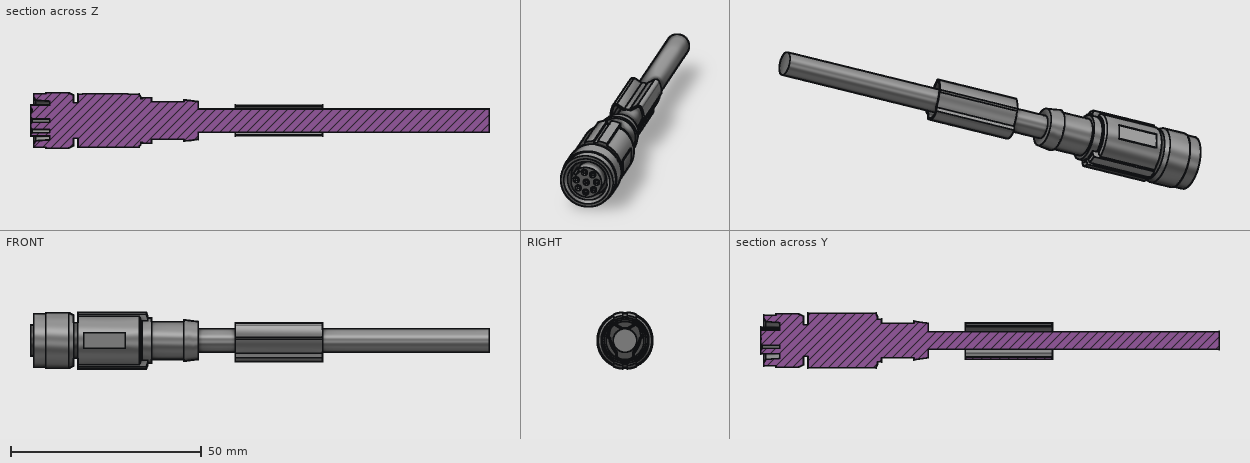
import cadquery as cq
import math


NUT_START = 0.75
NUT_STEP = 4.0
NUT_CHAMFER_START = 10.0
NUT_END = 11.3
GRIP_START = 12.4
GRIP_TAPER_START = 28.5
GRIP_END = 29.0
COLLAR_START = 29.4
RIB_TAPER_START = 30.4
RIB_END = 30.75
COLLAR_END = 31.8
FLARE_START = 40.3
BOOT_END = 44.1
CLIP_START = 53.8
CLIP_LENGTH = 23.0
CABLE_END = 120.65

INSERT_RADIUS = 4.1
NUT_FRONT_RADIUS = 7.05
NUT_RADIUS = 7.35
NUT_BACK_RADIUS = 6.7
NECK_RADIUS = 4.7
GRIP_RADIUS = 7.05
GRIP_TAPER_RADIUS = 6.3
GROOVE_RADIUS = 5.8
COLLAR_RADIUS = 6.0
BOOT_RADIUS = 5.0
FLARE_RADIUS = 5.5
CABLE_RADIUS = 3.1

SOCKET_MOUTH_RADIUS = 6.2
SOCKET_RADIUS = 5.3
SOCKET_FLOOR_RADIUS = 5.05
SOCKET_TAPER_END = 1.3
SOCKET_FLOOR = 5.0

OUTER_CONTACTS = 7
CONTACT_PITCH_RADIUS = 2.75
CONTACT_PITCH_ANGLE = 48.5
KEY_ANGLE = 45.0
CONTACT_MOUTH_RADIUS = 0.8
CONTACT_HOLE_RADIUS = 0.4
CONTACT_MOUTH_DEPTH = 0.4
CONTACT_DEPTH = 5.0
KEY_WIDTH = 1.5
KEY_FLOOR_RADIUS = 3.3

RIB_TOP = 7.5
RIB_HALF_WIDTH = 3.0
RIB_END_RADIUS = 6.6
RIB_SLOT_WIDTH = 1.1
RIB_RADIUS = math.hypot(RIB_TOP, RIB_SLOT_WIDTH / 2)
PAD_START = 13.9
PAD_LENGTH = 11.0
PAD_HEIGHT = 4.0

CLIP_WALL = 0.45


def revolve_about_x(points):
    """Solid of revolution about X from (station, radius) points."""
    return cq.Workplane("XY").polyline(points).close().revolve(360, (0, 0, 0), (1, 0, 0))


def make_body():
    """Nut, grip, boot and cable as one revolved profile."""
    return revolve_about_x(
        [
            (0, 0),
            (0, INSERT_RADIUS),
            (SOCKET_FLOOR, INSERT_RADIUS),
            (SOCKET_FLOOR, SOCKET_FLOOR_RADIUS),
            (SOCKET_TAPER_END, SOCKET_RADIUS),
            (NUT_START, SOCKET_MOUTH_RADIUS),
            (NUT_START, NUT_FRONT_RADIUS),
            (NUT_STEP, NUT_FRONT_RADIUS),
            (NUT_STEP, NUT_RADIUS),
            (NUT_CHAMFER_START, NUT_RADIUS),
            (NUT_END, NUT_BACK_RADIUS),
            (NUT_END, NECK_RADIUS),
            (GRIP_START, NECK_RADIUS),
            (GRIP_START, GRIP_RADIUS),
            (GRIP_TAPER_START, GRIP_RADIUS),
            (GRIP_END, GRIP_TAPER_RADIUS),
            (GRIP_END, GROOVE_RADIUS),
            (COLLAR_START, GROOVE_RADIUS),
            (COLLAR_START, COLLAR_RADIUS),
            (COLLAR_END, COLLAR_RADIUS),
            (COLLAR_END, BOOT_RADIUS),
            (FLARE_START, BOOT_RADIUS),
            (FLARE_START, FLARE_RADIUS),
            (BOOT_END, BOOT_RADIUS),
            (BOOT_END, CABLE_RADIUS),
            (CABLE_END, CABLE_RADIUS),
            (CABLE_END, 0),
        ]
    )


def make_ribs():
    """Slotted gripping ribs on the top and bottom of the grip."""
    length = RIB_END - GRIP_START
    middle = (GRIP_START + RIB_END) / 2
    band = cq.Workplane("XY").box(length, 2 * RIB_HALF_WIDTH, 2 * RIB_RADIUS)
    slot = cq.Workplane("XY").box(length, RIB_SLOT_WIDTH, 2 * RIB_RADIUS)
    ribs = band.cut(slot).translate((middle, 0, 0))
    ring = revolve_about_x(
        [
            (GRIP_START, NECK_RADIUS),
            (GRIP_START, RIB_RADIUS),
            (RIB_TAPER_START, RIB_RADIUS),
            (RIB_END, RIB_END_RADIUS),
            (RIB_END, NECK_RADIUS),
        ]
    )
    return ribs.intersect(ring)


def make_pads():
    """Flat rectangular pads on both Y sides of the grip, level with its widest point."""
    pads = cq.Workplane("XY").box(PAD_LENGTH, 2 * GRIP_RADIUS, PAD_HEIGHT)
    return pads.translate((PAD_START + PAD_LENGTH / 2, 0, 0))


def make_contact_hole(y, z):
    """Blind contact hole with a tapered mouth."""
    hole = revolve_about_x(
        [
            (0, 0),
            (0, CONTACT_MOUTH_RADIUS),
            (CONTACT_MOUTH_DEPTH, CONTACT_HOLE_RADIUS),
            (CONTACT_DEPTH, CONTACT_HOLE_RADIUS),
            (CONTACT_DEPTH, 0),
        ]
    )
    return hole.translate((0, y, z))


def cut_insert(body):
    """Cut the central contact hole, the ring of contact holes and the key slot."""
    body = body.cut(make_contact_hole(0, 0))
    for index in range(OUTER_CONTACTS):
        steps_from_middle = index - (OUTER_CONTACTS - 1) / 2
        angle = math.radians(KEY_ANGLE + 180 + steps_from_middle * CONTACT_PITCH_ANGLE)
        y = CONTACT_PITCH_RADIUS * math.sin(angle)
        z = CONTACT_PITCH_RADIUS * math.cos(angle)
        body = body.cut(make_contact_hole(y, z))
    key_depth = INSERT_RADIUS - KEY_FLOOR_RADIUS
    key = (
        cq.Workplane("XY")
        .box(SOCKET_FLOOR, KEY_WIDTH, key_depth)
        .translate((SOCKET_FLOOR / 2, 0, KEY_FLOOR_RADIUS + key_depth / 2))
        .rotate((0, 0, 0), (1, 0, 0), -KEY_ANGLE)
    )
    return body.cut(key)


def make_clip():
    """Hollow marker clip: V-shaped top resting on the cable, stepped flanks, rounded foot."""
    valley = (0.75, 3.35)
    crest = (2.75, 4.6)
    shoulder_mid = (3.5, 4.45)
    shoulder = (3.95, 3.95)
    flank_mid = (4.42, 2.45)
    flank_end = (4.6, 0.85)
    step = (4.2, 0.35)
    lower_mid = (3.58, -1.57)
    lower_end = (2.45, -3.35)
    foot_side = (2.45, -4.5)
    foot_bottom = (0, -5.6)

    def mirrored(point):
        return (-point[0], point[1])

    outline = (
        cq.Workplane("YZ", origin=(CLIP_START, 0, 0))
        .moveTo(*mirrored(valley))
        .lineTo(*valley)
        .lineTo(*crest)
        .threePointArc(shoulder_mid, shoulder)
        .threePointArc(flank_mid, flank_end)
        .lineTo(*step)
        .threePointArc(lower_mid, lower_end)
        .lineTo(*foot_side)
        .threePointArc(foot_bottom, mirrored(foot_side))
        .lineTo(*mirrored(lower_end))
        .threePointArc(mirrored(lower_mid), mirrored(step))
        .lineTo(*mirrored(flank_end))
        .threePointArc(mirrored(flank_mid), mirrored(shoulder))
        .threePointArc(mirrored(shoulder_mid), mirrored(crest))
        .close()
    )
    outer = outline.extrude(CLIP_LENGTH)
    end_outline = outer.faces("<X").wires().toPending()
    cavity = end_outline.offset2D(-CLIP_WALL).extrude(CLIP_LENGTH, combine=False)
    return outer.cut(cavity)


connector = make_body().union(make_ribs()).union(make_pads())
result = cut_insert(connector).union(make_clip())